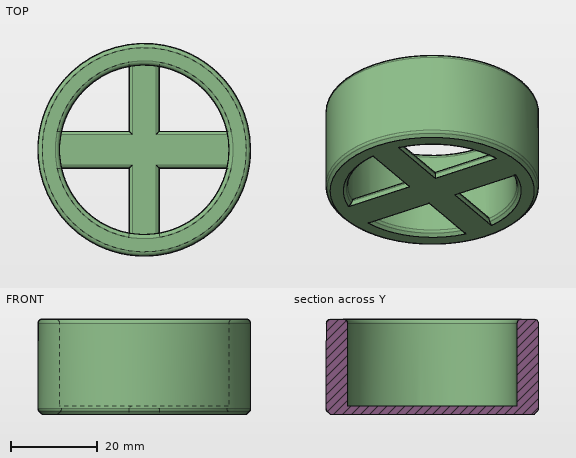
import cadquery as cq

outer_radius = 24.5
bore_radius = 19.5
height = 22.0
edge_round = 1.0
foot_chamfer = 1.0
wall_middle = (outer_radius + bore_radius) / 2

zone_reach = 2 * outer_radius
zone_margin = 0.05

bar_width_along_x = 8.55
bar_width_along_y = 6.95
bar_height = 2.0
bar_round = 0.8


def build_ring():
    """Round-topped ring whose bottom edges are chamfered and blended into the walls."""
    ring = cq.Workplane("XY").circle(outer_radius).circle(bore_radius).extrude(height)
    ring = ring.faces(">Z").edges().fillet(edge_round)
    ring = ring.faces("<Z").edges().chamfer(foot_chamfer)
    blend_zone = cq.selectors.BoxSelector(
        (-zone_reach, -zone_reach, foot_chamfer - zone_margin),
        (zone_reach, zone_reach, foot_chamfer + zone_margin),
        boundingbox=True,
    )
    return ring.edges(blend_zone).fillet(edge_round)


def build_cross():
    """Two crossing bars with rounded top edges, trimmed to the ring wall."""
    span = 2 * outer_radius
    bar_x = cq.Workplane("XY").box(span, bar_width_along_x, bar_height, centered=(True, True, False))
    bar_y = cq.Workplane("XY").box(bar_width_along_y, span, bar_height, centered=(True, True, False))
    bar_x = bar_x.faces(">Z").edges("|X").fillet(bar_round)
    bar_y = bar_y.faces(">Z").edges("|Y").fillet(bar_round)
    trim = cq.Workplane("XY").circle(wall_middle).extrude(bar_height)
    return bar_x.union(bar_y).intersect(trim)


result = build_ring().union(build_cross())